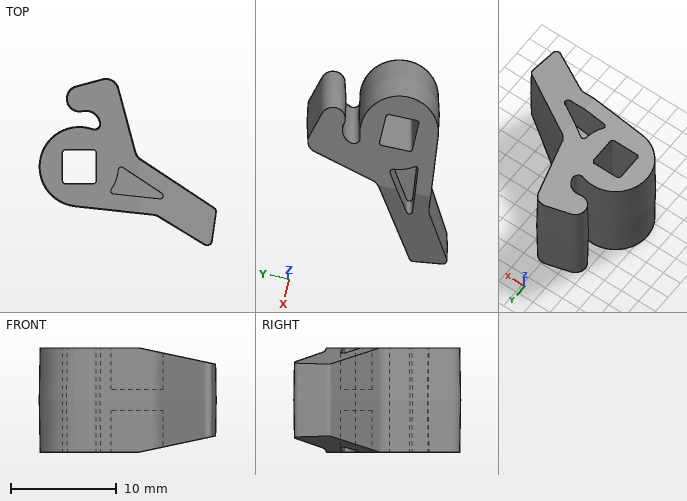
import cadquery as cq
import math

thickness = 9.91
half_thickness = thickness / 2
draft = 1.0

hub_radius = 3.81
square_hole_side = 3.2
square_hole_corner_radius = 0.3

tip_radius = 1.25
tip_center = (0.02, 6.44)
notch_radius = 1.34
notch_root_radius = 0.5
notch_flat = 0.12
notch_root_angle = 70.5

hook_tilt = 15.0
hook_top_normal = 90 + hook_tilt
tip_center_offset = (
    tip_center[1] * math.cos(math.radians(hook_tilt))
    - tip_center[0] * math.sin(math.radians(hook_tilt))
)
hook_top = (hook_top_normal, tip_center_offset + tip_radius)
hook_back = (hook_tilt, 5.52)
arm_upper = (56.5, 3.82)
arm_end = (-8.1, 13.46)
arm_lower = (-121.3, 0.17)
hub_lower = (-96.2, hub_radius)

hook_corner_radius = 1.25
hook_to_arm_radius = -1.2
arm_tip_radius = 0.5
arm_underside_radius = -1.25

wedge_start_x = 5.63
wedge_angle = 12.0
wedge_end_x = 15.0

pocket_wall = 1.6
pocket_inner_radius = 3.7
pocket_corner_radius = 0.3
pocket_web = 2.0

wedge_half_width = 10.0


def polar(angle, radius, center=(0.0, 0.0)):
    """Point at a direction and distance from a centre."""
    a = math.radians(angle)
    return (center[0] + radius * math.cos(a), center[1] + radius * math.sin(a))


def crossing(wall_a, wall_b, inset=0.0):
    """Point where two walls meet after both move inward by the inset."""
    (angle_a, dist_a), (angle_b, dist_b) = wall_a, wall_b
    ax, ay = polar(angle_a, 1)
    bx, by = polar(angle_b, 1)
    da = dist_a - inset
    db = dist_b - inset
    det = ax * by - ay * bx
    return ((da * by - db * ay) / det, (ax * db - bx * da) / det)


def rounded_corner(wall_a, wall_b, radius):
    """Start, middle and end of the arc that joins two walls."""
    center = crossing(wall_a, wall_b, radius)
    middle_angle = (wall_a[0] + wall_b[0]) / 2
    return [polar(a, radius, center) for a in (wall_a[0], middle_angle, wall_b[0])]


def direction(start, end):
    """Angle of the line from one point to another."""
    return math.degrees(math.atan2(end[1] - start[1], end[0] - start[0]))


def add_corners(path, corners):
    """Continue a path with straight walls joined by rounded corners."""
    for wall_a, wall_b, radius in corners:
        start, middle, end = rounded_corner(wall_a, wall_b, radius)
        path = path.lineTo(*start).threePointArc(middle, end)
    return path


def add_arc(path, center, radius, start_angle, end_angle):
    """Continue a path along an arc from its start angle to its end angle."""
    middle = polar((start_angle + end_angle) / 2, radius, center)
    return path.threePointArc(middle, polar(end_angle, radius, center))


def lever_outline():
    """Outline at the mid-plane, clockwise from the top of the hook tip."""
    root_center = polar(notch_root_angle, hub_radius + notch_root_radius)
    to_tip = tip_radius + notch_radius
    radius_step = notch_radius - notch_root_radius
    to_root = math.hypot(radius_step, notch_flat)
    span = math.dist(tip_center, root_center)
    cos_at_tip = (to_tip**2 + span**2 - to_root**2) / (2 * to_tip * span)
    tip_to_notch = direction(tip_center, root_center) - math.degrees(math.acos(cos_at_tip))
    notch_center = polar(tip_to_notch, to_tip, tip_center)
    flat_turn = math.degrees(math.atan2(notch_flat, radius_step))
    flat_normal = direction(notch_center, root_center) + flat_turn

    path = cq.Workplane("XY").moveTo(*polar(hook_top_normal, tip_radius, tip_center))
    path = add_corners(path, [
        (hook_top, hook_back, hook_corner_radius),
        (hook_back, arm_upper, hook_to_arm_radius),
        (arm_upper, arm_end, arm_tip_radius),
        (arm_end, arm_lower, arm_tip_radius),
        (arm_lower, hub_lower, arm_underside_radius),
    ])
    path = path.lineTo(*polar(hub_lower[0], hub_radius))
    path = add_arc(path, (0, 0), hub_radius, hub_lower[0], notch_root_angle - 360)
    path = add_arc(path, root_center, notch_root_radius, notch_root_angle - 180, flat_normal)
    path = path.lineTo(*polar(flat_normal, notch_radius, notch_center))
    path = add_arc(path, notch_center, notch_radius, flat_normal, tip_to_notch + 180)
    path = add_arc(path, tip_center, tip_radius, tip_to_notch, hook_top_normal - 360)
    return path.close()


def mirrored(solid):
    """A solid together with its mirror image below the mid-plane."""
    return solid.union(solid.mirror("XY"))


def lever_body():
    return mirrored(lever_outline().extrude(half_thickness, taper=draft))


def square_hole():
    return (
        cq.Workplane("XY")
        .rect(square_hole_side, square_hole_side)
        .extrude(half_thickness, both=True)
        .edges("|Z")
        .fillet(square_hole_corner_radius)
    )


def arm_wedges():
    drop = (wedge_end_x - wedge_start_x) * math.tan(math.radians(wedge_angle))
    wedge = (
        cq.Workplane("XZ")
        .moveTo(wedge_start_x, half_thickness)
        .lineTo(wedge_end_x, half_thickness)
        .lineTo(wedge_end_x, half_thickness - drop)
        .close()
        .extrude(wedge_half_width, both=True)
    )
    return mirrored(wedge)


def pockets():
    """Opposite pockets, bounded by an arc about the hub and two lines parallel to the arm's flanks."""
    upper = (arm_upper[0], arm_upper[1] - pocket_wall)
    lower = (hub_lower[0], hub_lower[1] - pocket_wall)
    depth = (thickness - pocket_web) / 2
    upper_start = polar(upper[0], upper[1])
    lower_start = polar(lower[0], lower[1])
    pocket = (
        cq.Workplane("XY", origin=(0, 0, half_thickness - depth))
        .polyline([upper_start, crossing(upper, lower), lower_start])
        .close()
        .extrude(depth)
        .cut(cq.Workplane("XY").circle(pocket_inner_radius).extrude(half_thickness))
        .edges("|Z")
        .fillet(pocket_corner_radius)
    )
    return mirrored(pocket)


result = lever_body().cut(arm_wedges()).cut(square_hole()).cut(pockets())